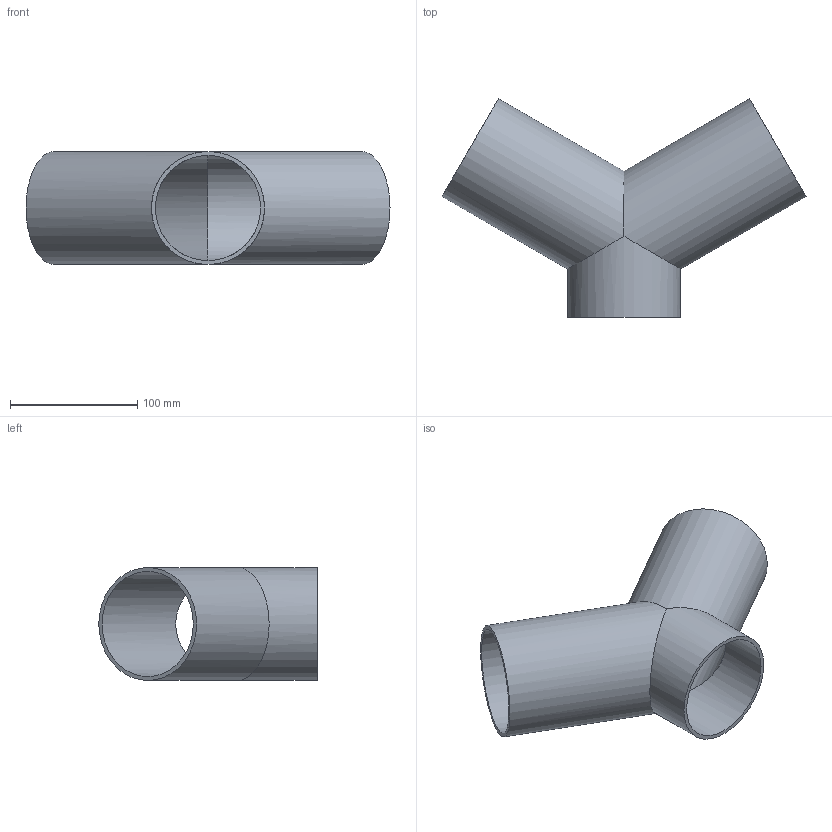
import cadquery as cq

outer_diameter = 88.9
inner_diameter = 82.8

arm_length = 139.7
stub_length = 63.5

leg_spacing = 120.0
stub_angle = -90.0
legs = [
    (stub_angle, stub_length),
    (stub_angle + leg_spacing, arm_length),
    (stub_angle - leg_spacing, arm_length),
]


def leg_cylinder(diameter, length, angle):
    """Solid cylinder from the junction point outward along one leg axis."""
    cylinder = cq.Workplane("YZ").circle(diameter / 2).extrude(length)
    return cylinder.rotate((0, 0, 0), (0, 0, 1), angle)


def wye(diameter):
    """Three cylinders of one diameter joined along their mitre planes."""
    body = cq.Workplane("XY")
    for angle, length in legs:
        body = body.union(leg_cylinder(diameter, length, angle))
    return body


result = wye(outer_diameter).cut(wye(inner_diameter))